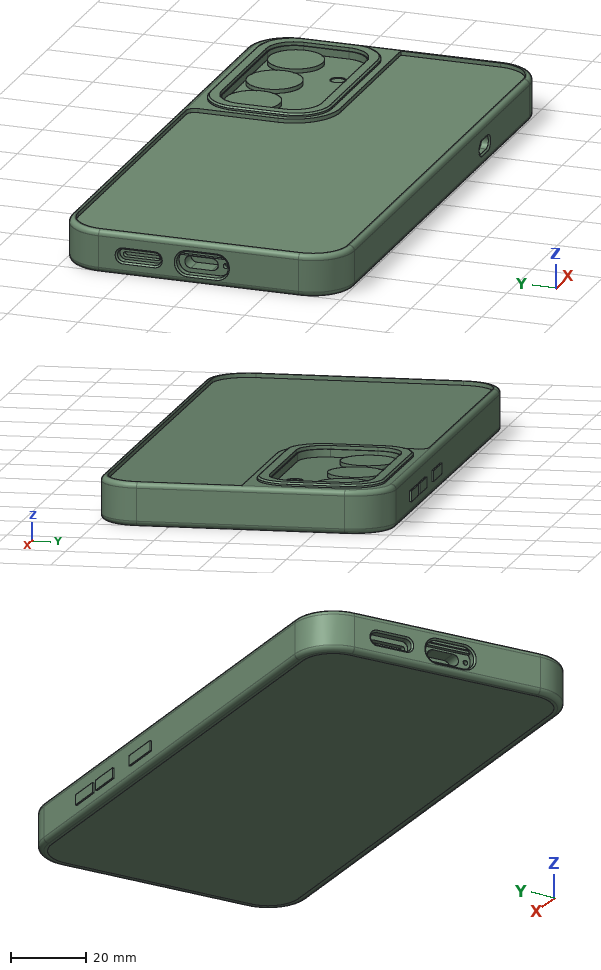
import cadquery as cq

case_length = 162.5
case_width = 80.0
case_height = 11.9
case_corner_radius = 11.7
case_edge_radius = 1.5
wall = 2.5

phone_height = 9.8
port_axis_z = 5.2

rim_width = 1.8
panel_thickness = 1.0

island_left = 18.5
island_front = 0.0
island_corner_radius = 13.0
island_blend_radius = 2.5

ring_length = 57.5
ring_width = 34.6
ring_center = (49.1, 19.3)
ring_corner_radius = 10.0
ring_height = 1.0
ring_chamfer = 0.5
ring_band = 3.1
bore_corner_radius = 7.8
window_inset = 0.3

lens_radius = 7.6
lens_height = 1.1
lens_pitch = 17.0
lens_count = 3
first_lens_center = (32.3, 25.0)
flash_center = (57.9, 10.0)
flash_radius = 2.1
flash_depth = 0.3

button_spans = [(9.9, 21.5), (30.5, 40.0), (41.8, 51.2)]
button_height = 3.0
button_rise = 0.5

speaker_opening = (16.9, 5.5, 13.3, 4.5)
port_opening = (-1.0, 5.5, 15.6, 7.5)
side_opening = (34.1, 5.2, 9.1, 4.5)
opening_chamfer = 0.5
chamfer_angle = 45
port_brow_steps = [(0.7, 8.1), (1.3, 7.5)]

speaker_slot = (16.9, port_axis_z, 10.4, 1.5)
port_slot = (0.0, port_axis_z, 9.5, 3.4)
end_microphone_y = -6.8
end_microphone_radius = 0.7
side_hole_positions = [31.9, 36.4]
side_hole_radius = 1.3
port_depth = 4.9
small_hole_depth = 1.6

phone_length = case_length - 2 * wall
phone_width = case_width - 2 * wall
phone_corner_radius = case_corner_radius - wall
panel_length = case_length - 2 * rim_width
panel_width = case_width - 2 * rim_width
panel_corner_radius = case_corner_radius - rim_width
bore_length = ring_length - 2 * ring_band
bore_width = ring_width - 2 * ring_band
back_thickness = case_height - phone_height


def rounded_plate(length, width, height, corner_radius, base_z=0.0, center=(0.0, 0.0)):
    """Flat plate with rounded vertical corners, standing on base_z."""
    return (
        cq.Workplane("XY", origin=(*center, base_z))
        .rect(length, width)
        .extrude(height)
        .edges("|Z")
        .fillet(corner_radius)
    )


def end_slot(slot, start_x, depth, taper=0):
    """Round-ended slot running in +X from start_x; slot is (centre Y, centre Z, length, height)."""
    center_y, center_z, length, height = slot
    return (
        cq.Workplane("YZ", origin=(start_x, center_y, center_z))
        .slot2D(length, height)
        .extrude(depth, taper=taper)
    )


def side_slot(slot, start_y, depth, taper=0):
    """Round-ended slot running in +Y from start_y; slot is (centre X, centre Z, length, height)."""
    center_x, center_z, length, height = slot
    return (
        cq.Workplane("XZ", origin=(center_x, start_y, center_z))
        .slot2D(length, height)
        .extrude(-depth, taper=taper)
    )


def inside_chamfer(slot):
    """Slot left inside the chamfer around the mouth of the given slot."""
    center_along, center_z, length, height = slot
    return center_along, center_z, length - 2 * opening_chamfer, height - 2 * opening_chamfer


def stepped_port_opening():
    """Through opening for the charging port, with steps hanging from its top."""
    opening = end_slot(inside_chamfer(port_opening), -case_length / 2, wall)
    center_y, _, length, _ = port_opening
    for depth, underside_z in port_brow_steps:
        step = (
            cq.Workplane("XY", origin=(-case_length / 2 + depth, center_y, underside_z))
            .rect(wall, length)
            .extrude(case_height - underside_z)
            .translate((wall / 2, 0, 0))
        )
        opening = opening.cut(step)
    return opening


def panel_block(thickness):
    """Block on the phone's back that fills the area inside the rim, less the camera island corner."""
    plate = rounded_plate(panel_length, panel_width, thickness, panel_corner_radius, phone_height)
    half_length = case_length / 2
    half_width = case_width / 2
    island = (
        cq.Workplane("XY", origin=(0, 0, phone_height))
        .moveTo(island_left, island_front)
        .lineTo(half_length, island_front)
        .lineTo(half_length, half_width)
        .lineTo(island_left, half_width)
        .close()
        .extrude(thickness)
        .edges("|Z and <X and <Y")
        .fillet(island_corner_radius)
    )
    blend_point = (island_left, panel_width / 2, phone_height + thickness / 2)
    blend_edge = cq.selectors.NearestToPointSelector(blend_point)
    return plate.cut(island).edges(blend_edge).fillet(island_blend_radius)


def make_phone():
    """Phone with its lenses, flash recess and the holes in its -X end and -Y side."""
    phone = rounded_plate(phone_length, phone_width, phone_height, phone_corner_radius)
    first_x, lens_y = first_lens_center
    for index in range(lens_count):
        lens = (
            cq.Workplane("XY", origin=(first_x + index * lens_pitch, lens_y, phone_height))
            .circle(lens_radius)
            .extrude(lens_height)
        )
        phone = phone.union(lens)
    flash = cq.Workplane("XY", origin=(*flash_center, phone_height)).circle(flash_radius).extrude(-flash_depth)
    phone = phone.cut(flash)

    end_x = -phone_length / 2
    phone = phone.cut(end_slot(speaker_slot, end_x, small_hole_depth))
    phone = phone.cut(end_slot(port_slot, end_x, port_depth))
    microphone = (
        cq.Workplane("YZ", origin=(end_x, end_microphone_y, port_axis_z))
        .circle(end_microphone_radius)
        .extrude(small_hole_depth)
    )
    phone = phone.cut(microphone)
    for hole_x in side_hole_positions:
        hole = (
            cq.Workplane("XZ", origin=(hole_x, -phone_width / 2, port_axis_z))
            .circle(side_hole_radius)
            .extrude(-small_hole_depth)
        )
        phone = phone.cut(hole)
    return phone


def make_case():
    """Case shell around the phone, with buttons, wall openings and camera window."""
    case = rounded_plate(case_length, case_width, case_height, case_corner_radius)
    case = case.faces("<Z or >Z").edges().fillet(case_edge_radius)

    for start_x, end_x in button_spans:
        button = (
            cq.Workplane("XZ", origin=((start_x + end_x) / 2, case_width / 2 - wall, port_axis_z))
            .rect(end_x - start_x, button_height)
            .extrude(-(wall + button_rise))
        )
        case = case.union(button)

    case = case.cut(rounded_plate(phone_length, phone_width, phone_height, phone_corner_radius))
    case = case.cut(panel_block(back_thickness))
    window = rounded_plate(
        bore_length - 2 * window_inset,
        bore_width - 2 * window_inset,
        back_thickness,
        bore_corner_radius - window_inset,
        phone_height,
        ring_center,
    )
    case = case.cut(window)

    end_x = -case_length / 2
    side_y = -case_width / 2
    for opening in (speaker_opening, port_opening):
        case = case.cut(end_slot(opening, end_x, opening_chamfer, chamfer_angle))
    case = case.cut(end_slot(inside_chamfer(speaker_opening), end_x, wall))
    case = case.cut(stepped_port_opening())
    case = case.cut(side_slot(side_opening, side_y, opening_chamfer, chamfer_angle))
    return case.cut(side_slot(inside_chamfer(side_opening), side_y, wall))


def make_ring():
    """Camera ring on the island, with its outer top edge chamfered."""
    ring = rounded_plate(
        ring_length, ring_width, ring_height, ring_corner_radius, case_height, ring_center
    ).faces(">Z").chamfer(ring_chamfer)
    bore = rounded_plate(bore_length, bore_width, ring_height, bore_corner_radius, case_height, ring_center)
    return ring.cut(bore)


case = make_case()
panel = panel_block(panel_thickness)
phone = make_phone()
camera_ring = make_ring()

result = cq.Compound.makeCompound([case.val(), panel.val(), phone.val(), camera_ring.val()])